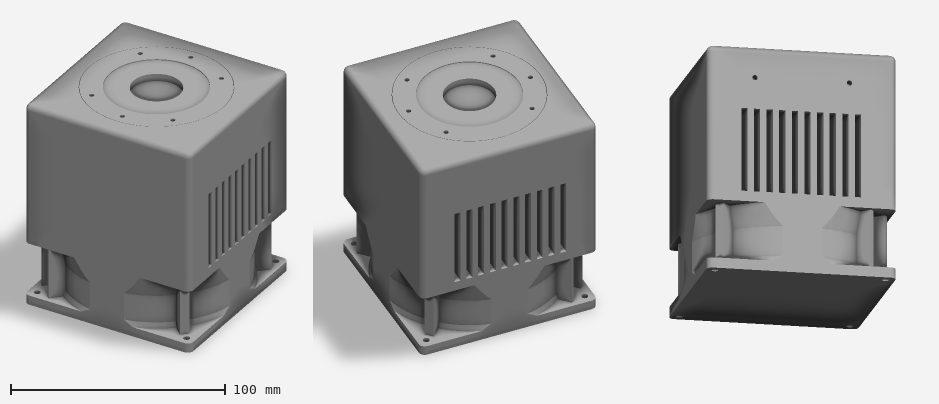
import cadquery as cq
import math

TOTAL_HEIGHT = 108.0
SIDE = 90.0
FAN_HEIGHT = 38.0
HOUSING_HEIGHT = TOTAL_HEIGHT - FAN_HEIGHT
EDGE_RADIUS = 3.0

FLANGE = 5.0
TOP_FLANGE_Z = FAN_HEIGHT - FLANGE
DUCT_RADIUS = 45.9
DUCT_BOTTOM_RADIUS = 47.1
DUCT_TOP_RADIUS = 48.4
DUCT_STRAIGHT_START = 7.7
DUCT_STRAIGHT_END = 22.0
FLANGE_HOLE_DIAMETER = 3.2
FLANGE_HOLE_OFFSET = 40.5

RIB_REACH = 53.6
TWIN_RIB_THICKNESS = 2.0
TWIN_RIB_SPACING = 11.5
SINGLE_RIB_THICKNESS = 4.6

SLOT_COUNT = 10
SLOT_ROW_SPAN = 54.0
SLOT_PITCH = SLOT_ROW_SPAN / (SLOT_COUNT - 1)
SLOT_WIDTH = SLOT_PITCH / 2
SLOT_HEIGHT = 40.0
SLOT_ROW_OFFSET = 0.5

SIDE_HOLE_DIAMETER = 2.5
SIDE_HOLE_DEPTH = 5.0
SIDE_HOLE_OFFSET = 22.5
SIDE_HOLE_Z = 93.0

RECESS_DIAMETER = 72.5
RECESS_DEPTH = 5.0
RING_DIAMETER = 72.0
DISC_DIAMETER = 49.9
DISC_SETBACK = 0.5
DISC_RECESS_DIAMETER = 25.0
DISC_FLOOR_DEPTH = 4.3
SCREW_HOLE_DIAMETER = 2.5
SCREW_CIRCLE_RADIUS = 31.1
SCREW_ANGLES = [45, 90, 135, 225, 270, 315]


def square_plate(bottom, height):
    """Square slab centred on the Z axis, with rounded upright edges."""
    plate = cq.Workplane("XY", origin=(0, 0, bottom)).rect(SIDE, SIDE).extrude(height)
    return plate.edges("|Z").fillet(EDGE_RADIUS)


def diagonal_rib(angle, thickness, shift):
    """Rib from the Z axis outwards at an angle in degrees, shifted sideways."""
    rib = (
        cq.Workplane("XY", origin=(0, 0, FLANGE))
        .center(RIB_REACH / 2, shift)
        .rect(RIB_REACH, thickness)
        .extrude(TOP_FLANGE_Z - FLANGE)
    )
    return rib.rotate((0, 0, 0), (0, 0, 1), angle)


def make_duct():
    """Round duct that flares towards both flanges, trimmed to the square outline."""
    profile = [
        (0, FLANGE),
        (DUCT_BOTTOM_RADIUS, FLANGE),
        (DUCT_RADIUS, DUCT_STRAIGHT_START),
        (DUCT_RADIUS, DUCT_STRAIGHT_END),
        (DUCT_TOP_RADIUS, TOP_FLANGE_Z),
        (0, TOP_FLANGE_Z),
    ]
    duct = cq.Workplane("XZ").polyline(profile).close().revolve(360, (0, 0, 0), (0, 1, 0))
    outline = cq.Workplane("XY").rect(SIDE, SIDE).extrude(FAN_HEIGHT)
    return duct.intersect(outline)


def make_fan():
    fan = square_plate(0, FLANGE).union(square_plate(TOP_FLANGE_Z, FLANGE)).union(make_duct())

    for angle in (45, 225):
        for side in (-1, 1):
            fan = fan.union(diagonal_rib(angle, TWIN_RIB_THICKNESS, side * TWIN_RIB_SPACING / 2))
    for angle in (135, 315):
        fan = fan.union(diagonal_rib(angle, SINGLE_RIB_THICKNESS, 0))

    holes = (
        cq.Workplane("XY")
        .rect(2 * FLANGE_HOLE_OFFSET, 2 * FLANGE_HOLE_OFFSET, forConstruction=True)
        .vertices()
        .circle(FLANGE_HOLE_DIAMETER / 2)
        .extrude(FLANGE)
    )
    return fan.cut(holes)


def make_housing():
    housing = square_plate(FAN_HEIGHT, HOUSING_HEIGHT).faces(">Z").edges().fillet(EDGE_RADIUS)

    slots = (
        cq.Workplane("XY", origin=(0, 0, FAN_HEIGHT))
        .center(0, SLOT_ROW_OFFSET)
        .rarray(SIDE, SLOT_PITCH, 1, SLOT_COUNT)
        .rect(SIDE, SLOT_WIDTH)
        .extrude(SLOT_HEIGHT)
    )
    side_holes = (
        cq.Workplane("YZ", origin=(-SIDE / 2, 0, SIDE_HOLE_Z))
        .pushPoints([(-SIDE_HOLE_OFFSET, 0), (SIDE_HOLE_OFFSET, 0)])
        .circle(SIDE_HOLE_DIAMETER / 2)
        .extrude(SIDE_HOLE_DEPTH)
    )
    return housing.cut(slots).cut(side_holes).cut(sunk_cylinder(RECESS_DIAMETER, RECESS_DEPTH))


def sunk_cylinder(diameter, depth, setback=0):
    """Cylinder on the Z axis, from a setback below the housing top down to a depth below it."""
    base = cq.Workplane("XY", origin=(0, 0, TOTAL_HEIGHT - depth))
    return base.circle(diameter / 2).extrude(depth - setback)


def make_ring():
    ring = sunk_cylinder(RING_DIAMETER, RECESS_DEPTH).cut(sunk_cylinder(DISC_DIAMETER, RECESS_DEPTH))
    for angle in SCREW_ANGLES:
        x = SCREW_CIRCLE_RADIUS * math.cos(math.radians(angle))
        y = SCREW_CIRCLE_RADIUS * math.sin(math.radians(angle))
        ring = ring.cut(sunk_cylinder(SCREW_HOLE_DIAMETER, RECESS_DEPTH).translate((x, y, 0)))
    return ring


def make_disc():
    disc = sunk_cylinder(DISC_DIAMETER, RECESS_DEPTH, DISC_SETBACK)
    return disc.cut(sunk_cylinder(DISC_RECESS_DIAMETER, DISC_FLOOR_DEPTH))


fan = make_fan()
housing = make_housing()
ring = make_ring()
disc = make_disc()

result = cq.Compound.makeCompound([fan.val(), housing.val(), ring.val(), disc.val()])